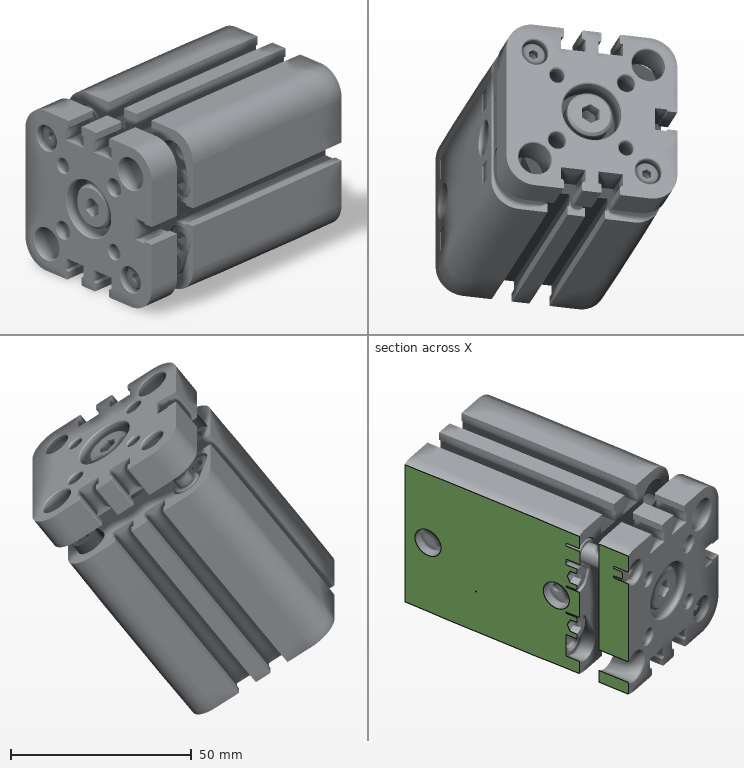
import cadquery as cq
import math


SIDE = 49.0
HALF = SIDE / 2
CORNER_RADIUS = 8.0
TOTAL_LENGTH = 75.2
PLATE_THICKNESS = 10.0
GAP = 6.5
BODY_FRONT = PLATE_THICKNESS + GAP
FRONT_CAP_LENGTH = 14.1
REAR_CAP_LENGTH = 14.0
CAP_TAPER = 0.15

SLOT_OFFSET = 5.4
SLOT_DEPTH = 6.4
SLOT_WIDTH = 7.0
LIP_HEIGHT = 2.8
PLATE_LIP_SLOPE = 0.4
PLATE_SLOT_OPENING = 5.2
BODY_SLOT_OPENING = 5.75
SLOT_EDGE_CHAMFER = (BODY_SLOT_OPENING - PLATE_SLOT_OPENING) / 2
SIDE_SLOT_WIDTH = 6.6
SIDE_SLOT_OPENING = 5.5

CORNER_OFFSET = 16.25
UPPER_ROD_DIAMETER = 6.0
LOWER_ROD_DIAMETER = 5.0
ROD_SCREW_HOLE_DIAMETER = 7.5
ROD_SCREW_HOLE_DEPTH = 5.0
ROD_SCREW_HEAD_DIAMETER = 7.0
ROD_SCREW_HEAD_DEPTH = 1.9
ROD_SCREW_HEAD_CHAMFER = 0.35
ROD_SCREW_HEX = 2.5
ROD_SCREW_HEX_DEPTH = 2.0
ACCESS_HOLE_DIAMETER = 9.5
HOLE_CHAMFER = 0.25

PLATE_HOLE_CIRCLE_RADIUS = 14.0
PLATE_HOLE_OFFSET = PLATE_HOLE_CIRCLE_RADIUS * math.sqrt(0.5)
THREAD_HOLE_DIAMETER = 4.2
THREAD_HOLE_CHAMFER = 0.35
DOWEL_HOLE_DIAMETER = 5.0
DOWEL_HOLE_CHAMFER = 0.3

PISTON_ROD_DIAMETER = 12.0
PISTON_ROD_FLATS = 10.0
FLAT_LENGTH = 4.2
ROD_TIP_LENGTH = 1.3
ROD_TIP_STEP = 0.55
CENTRE_BORE_DIAMETER = 17.0
CENTRE_BORE_CHAMFER = 0.3
CENTRE_BORE_DEPTH = 7.4
CENTRE_HEAD_DIAMETER = 13.0
CENTRE_HEAD_DEPTH = 1.4
CENTRE_HEAD_CHAMFER = 0.75
CENTRE_HEX = 5.0
CENTRE_HEX_DEPTH = 4.0

RECESS_DEPTH = 4.5
RECESS_BORE_DIAMETER = 9.0
RECESS_SCREW_DIAMETER = 8.0
CAP_SCREW_X = 19.3
CAP_SCREW_Z = 8.4
CAP_SCREW_HEAD_DIAMETER = 7.5
CAP_SCREW_HEAD_DEPTH = 0.7
CAP_SCREW_HEX = 3.5
CAP_SCREW_HEX_DEPTH = 2.5
BUSHING_DIAMETER = 8.0
BUSHING_PROTRUSION = 0.2
BUSHING_CHAMFER = 0.2
TIE_HOLE_DIAMETER = 4.92
TIE_HOLE_MOUTH_DIAMETER = 6.32

PORT_DIAMETER = 8.57
PORT_MOUTH_DIAMETER = 10.4
PORT_DEPTH = 8.0
PORT_END_DISTANCE = 7.8
AIR_HOLE_DIAMETER = 2.5
AIR_HOLE_SHIFT = 2.0
AIR_HOLE_LENGTH = 4.0
LABEL_LENGTH = 5.9
LABEL_WIDTH = 4.1
LABEL_DEPTH = 0.3
LABEL_Z = 10.95
LABEL_END_DISTANCE = 7.05

HEX_TIP_RATIO = 0.25

OVERCUT = 1.0


def on_y(y):
    """Plane across the cylinder axis at y, drawn in X and Z, extruding toward +Y."""
    return cq.Workplane(cq.Plane((0, y, 0), xDir=(1, 0, 0), normal=(0, 1, 0)))


def cylinder(x, z, y_start, length, diameter):
    return on_y(y_start).center(x, -z).circle(diameter / 2).extrude(length)


def cone(x, z, y_start, length, start_diameter, end_diameter):
    solid = cq.Solid.makeCone(
        start_diameter / 2, end_diameter / 2, length, cq.Vector(x, y_start, z), cq.Vector(0, 1, 0)
    )
    return cq.Workplane(solid)


def chamfered_hole(x, z, y_start, length, diameter, chamfer):
    hole = cylinder(x, z, y_start, length, diameter)
    return hole.union(cone(x, z, y_start, chamfer, diameter + 2 * chamfer, diameter))


def hex_socket(x, z, y_start, across_flats, depth):
    """Hexagonal socket with points up and down, ending in a shallow cone."""
    corner_diameter = across_flats / math.cos(math.pi / 6)
    socket = on_y(y_start).center(x, -z).transformed(rotate=(0, 0, 30))
    socket = socket.polygon(6, corner_diameter).extrude(depth)
    tip = cone(x, z, y_start + depth, HEX_TIP_RATIO * across_flats, across_flats, 0)
    return socket.union(tip)


def socket_screw(x, z, y_start, length, diameter, chamfer, across_flats, hex_depth):
    head = cylinder(x, z, y_start, length, diameter)
    if chamfer:
        head = head.faces("<Y").chamfer(chamfer)
    return head.cut(hex_socket(x, z, y_start, across_flats, hex_depth))


def square_block(y_start, length):
    block = on_y(y_start).rect(SIDE, SIDE).extrude(length)
    return block.edges("|Y").fillet(CORNER_RADIUS)


def tapered_cap(y_inner, length, rotation):
    """End cap narrowing slightly away from the barrel: toward +Y at rotation 0, toward -Y at 180."""
    taper_angle = math.degrees(math.atan(CAP_TAPER / length))
    profile = cq.Sketch().rect(SIDE, SIDE).vertices().fillet(CORNER_RADIUS)
    cap = on_y(0).placeSketch(profile).extrude(length, taper=taper_angle)
    return cap.rotate((0, 0, 0), (0, 0, 1), rotation).translate((0, y_inner, 0))


def t_slot(y_start, length, offset, width, opening, slope, edge_chamfer):
    """T-slot cutter for the top face, centred at X = offset."""
    lip_bottom = HALF - LIP_HEIGHT
    right_side = [
        (width / 2, HALF - SLOT_DEPTH),
        (width / 2, lip_bottom),
        (opening / 2 + slope, lip_bottom),
        (opening / 2, lip_bottom + slope),
        (opening / 2, HALF - edge_chamfer),
        (opening / 2 + edge_chamfer, HALF),
        (opening / 2 + edge_chamfer, HALF + OVERCUT),
    ]
    left_side = [(-x, z) for x, z in reversed(right_side)]
    outline = []
    for point in right_side + left_side:
        if point not in outline:
            outline.append(point)
    points = [(offset + x, -z) for x, z in outline]
    return on_y(y_start).polyline(points).close().extrude(length)


def cut_slots(block, y_start, length, opening, slope, edge_chamfer):
    for turn in (0, 180):
        for offset in (-SLOT_OFFSET, SLOT_OFFSET):
            slot = t_slot(y_start, length, offset, SLOT_WIDTH, opening, slope, edge_chamfer)
            block = block.cut(slot.rotate((0, 0, 0), (0, 1, 0), turn))
    side_slot = t_slot(y_start, length, 0, SIDE_SLOT_WIDTH, SIDE_SLOT_OPENING, 0, 0)
    return block.cut(side_slot.rotate((0, 0, 0), (0, 1, 0), 90))


def make_plate():
    plate = square_block(0, PLATE_THICKNESS)
    plate = cut_slots(plate, 0, PLATE_THICKNESS, PLATE_SLOT_OPENING, PLATE_LIP_SLOPE, SLOT_EDGE_CHAMFER)
    plate = plate.cut(chamfered_hole(0, 0, 0, CENTRE_BORE_DEPTH, CENTRE_BORE_DIAMETER, CENTRE_BORE_CHAMFER))
    for side in (-1, 1):
        corner = side * CORNER_OFFSET
        near = side * PLATE_HOLE_OFFSET
        plate = plate.cut(
            chamfered_hole(corner, -corner, 0, ROD_SCREW_HOLE_DEPTH, ROD_SCREW_HOLE_DIAMETER, HOLE_CHAMFER)
        )
        plate = plate.cut(
            chamfered_hole(corner, corner, 0, PLATE_THICKNESS, ACCESS_HOLE_DIAMETER, HOLE_CHAMFER)
        )
        plate = plate.cut(
            chamfered_hole(near, -near, 0, PLATE_THICKNESS, THREAD_HOLE_DIAMETER, THREAD_HOLE_CHAMFER)
        )
        plate = plate.cut(
            chamfered_hole(near, near, 0, PLATE_THICKNESS, DOWEL_HOLE_DIAMETER, DOWEL_HOLE_CHAMFER)
        )
        plate = plate.union(
            socket_screw(
                corner,
                -corner,
                ROD_SCREW_HEAD_DEPTH,
                ROD_SCREW_HOLE_DEPTH - ROD_SCREW_HEAD_DEPTH,
                ROD_SCREW_HEAD_DIAMETER,
                ROD_SCREW_HEAD_CHAMFER,
                ROD_SCREW_HEX,
                ROD_SCREW_HEX_DEPTH,
            )
        )
    centre_screw = socket_screw(
        0,
        0,
        CENTRE_HEAD_DEPTH,
        CENTRE_BORE_DEPTH - CENTRE_HEAD_DEPTH,
        CENTRE_HEAD_DIAMETER,
        CENTRE_HEAD_CHAMFER,
        CENTRE_HEX,
        CENTRE_HEX_DEPTH,
    )
    return plate.union(centre_screw)


def make_recess(x_side, z_side):
    """Pocket in the body front: two circles joined by their outer tangents."""
    bore_x = x_side * CORNER_OFFSET
    bore_z = z_side * CORNER_OFFSET
    screw_x = x_side * CAP_SCREW_X
    screw_z = z_side * CAP_SCREW_Z
    bore_radius = RECESS_BORE_DIAMETER / 2
    screw_radius = RECESS_SCREW_DIAMETER / 2
    distance = math.hypot(screw_x - bore_x, screw_z - bore_z)
    direction = math.atan2(screw_z - bore_z, screw_x - bore_x)
    spread = math.acos((bore_radius - screw_radius) / distance)

    def tangent_point(x, z, radius, angle):
        return (x + radius * math.cos(angle), -(z + radius * math.sin(angle)))

    corners = [
        tangent_point(bore_x, bore_z, bore_radius, direction + spread),
        tangent_point(screw_x, screw_z, screw_radius, direction + spread),
        tangent_point(screw_x, screw_z, screw_radius, direction - spread),
        tangent_point(bore_x, bore_z, bore_radius, direction - spread),
    ]
    web = on_y(BODY_FRONT).polyline(corners).close().extrude(RECESS_DEPTH)
    bore = cylinder(bore_x, bore_z, BODY_FRONT, RECESS_DEPTH, RECESS_BORE_DIAMETER)
    screw_bore = cylinder(screw_x, screw_z, BODY_FRONT, RECESS_DEPTH, RECESS_SCREW_DIAMETER)
    return web.union(bore).union(screw_bore)


def make_cap_screw(x_side, z_side):
    return socket_screw(
        x_side * CAP_SCREW_X,
        z_side * CAP_SCREW_Z,
        BODY_FRONT + CAP_SCREW_HEAD_DEPTH,
        RECESS_DEPTH - CAP_SCREW_HEAD_DEPTH,
        CAP_SCREW_HEAD_DIAMETER,
        0,
        CAP_SCREW_HEX,
        CAP_SCREW_HEX_DEPTH,
    )


def make_tie_hole(side):
    """Hole through the whole body with a conical mouth at the recess floor."""
    corner = side * CORNER_OFFSET
    floor_y = BODY_FRONT + RECESS_DEPTH
    mouth_length = (TIE_HOLE_MOUTH_DIAMETER - TIE_HOLE_DIAMETER) / 2
    hole = cylinder(corner, corner, floor_y, TOTAL_LENGTH - floor_y, TIE_HOLE_DIAMETER)
    mouth = cone(corner, corner, floor_y, mouth_length, TIE_HOLE_MOUTH_DIAMETER, TIE_HOLE_DIAMETER)
    return hole.union(mouth)


def make_port(y, toward_middle):
    """Side port with a chamfered mouth and a small air hole in its floor."""
    chamfer = (PORT_MOUTH_DIAMETER - PORT_DIAMETER) / 2
    mouth = cq.Workplane("YZ", origin=(-HALF, y, 0))
    port = mouth.circle(PORT_DIAMETER / 2).extrude(PORT_DEPTH)
    chamfer_cone = cq.Solid.makeCone(
        PORT_MOUTH_DIAMETER / 2, PORT_DIAMETER / 2, chamfer, cq.Vector(-HALF, y, 0), cq.Vector(1, 0, 0)
    )
    air_hole = mouth.center(toward_middle * AIR_HOLE_SHIFT, 0).circle(AIR_HOLE_DIAMETER / 2)
    air_hole = air_hole.extrude(PORT_DEPTH + AIR_HOLE_LENGTH)
    return port.union(cq.Workplane(chamfer_cone)).union(air_hole)


def make_label_pocket(y, z):
    pocket = cq.Workplane("YZ", origin=(-HALF, y, z))
    return pocket.rect(LABEL_WIDTH, LABEL_LENGTH).extrude(LABEL_DEPTH)


def make_body():
    length = TOTAL_LENGTH - BODY_FRONT
    barrel_start = BODY_FRONT + FRONT_CAP_LENGTH
    barrel_end = TOTAL_LENGTH - REAR_CAP_LENGTH
    body = square_block(barrel_start, barrel_end - barrel_start)
    body = body.union(tapered_cap(barrel_start, FRONT_CAP_LENGTH, 180))
    body = body.union(tapered_cap(barrel_end, REAR_CAP_LENGTH, 0))
    body = cut_slots(body, BODY_FRONT, length, BODY_SLOT_OPENING, 0, 0)
    for x_side in (-1, 1):
        for z_side in (-1, 1):
            body = body.cut(make_recess(x_side, z_side))
            body = body.union(make_cap_screw(x_side, z_side))
    for side in (-1, 1):
        body = body.cut(make_tie_hole(side))
    for end, inward in ((BODY_FRONT, 1), (TOTAL_LENGTH, -1)):
        body = body.cut(make_port(end + inward * PORT_END_DISTANCE, inward))
        for z in (-LABEL_Z, LABEL_Z):
            body = body.cut(make_label_pocket(end + inward * LABEL_END_DISTANCE, z))
    return body


def make_guide_rod(side, diameter):
    """Guide rod from the plate to the recess floor, with its bushing in the body."""
    x = side * CORNER_OFFSET
    rod = cylinder(x, -x, PLATE_THICKNESS, GAP + RECESS_DEPTH, diameter)
    bushing_length = RECESS_DEPTH + BUSHING_PROTRUSION
    bushing = cylinder(x, -x, BODY_FRONT - BUSHING_PROTRUSION, bushing_length, BUSHING_DIAMETER)
    bushing = bushing.faces("<Y").chamfer(BUSHING_CHAMFER)
    return rod.union(bushing)


def make_piston_rod():
    """Piston rod with a rounded tip and two flats that run out in a cone."""
    full_radius = PISTON_ROD_DIAMETER / 2
    profile = (
        cq.Workplane("XY")
        .moveTo(0, PLATE_THICKNESS)
        .lineTo(0, BODY_FRONT)
        .lineTo(full_radius, BODY_FRONT)
        .lineTo(full_radius, PLATE_THICKNESS + ROD_TIP_LENGTH)
        .tangentArcPoint((full_radius - ROD_TIP_STEP, PLATE_THICKNESS), relative=False)
        .close()
    )
    rod = profile.revolve(360, (0, 0, 0), (0, 1, 0))
    half_flats = PISTON_ROD_FLATS / 2
    runout = full_radius - half_flats
    flat_end = PLATE_THICKNESS + FLAT_LENGTH
    for side in (-1, 1):
        points = [
            (side * half_flats, PLATE_THICKNESS),
            (side * half_flats, flat_end),
            (side * full_radius, flat_end + runout),
            (side * full_radius, PLATE_THICKNESS),
        ]
        cutter = cq.Workplane("XY").polyline(points).close().extrude(full_radius, both=True)
        rod = rod.cut(cutter)
    return rod


result = (
    make_body()
    .union(make_piston_rod())
    .union(make_guide_rod(-1, UPPER_ROD_DIAMETER))
    .union(make_guide_rod(1, LOWER_ROD_DIAMETER))
    .union(make_plate())
)